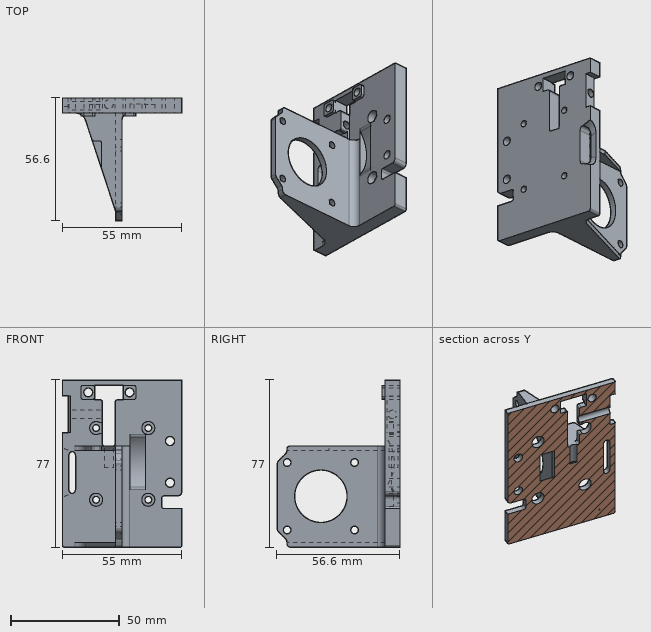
import cadquery as cq
import math

plate_width = 55.0
plate_height = 77.0
plate_depth = 7.0
corner_radius = 1.0

reach = 49.6
web_left = 24.4
web_thickness = 3.0
web_right = web_left + web_thickness
web_root_radius = 3.5
flange_top = 46.75
top_flange_thickness = 2.1
bottom_flange_thickness = 2.4
flange_reach = 45.2
flange_foot_x = 9.5
flange_root_radius = 5.0
flange_end_radius = 1.55
flange_slant = math.atan2(web_left - flange_foot_x, flange_reach)
flange_notch_x = 18.0
flange_notch_y = -12.8
nose_half_height = 15.8
nose_bend_radius = 2.0

motor_y = -29.5
motor_z = 23.6
motor_bore_diameter = 24.0
motor_screw_diameter = 3.4
motor_screw_pitch = 31.0

stem_left = 18.4
stem_right = 24.25
head_left = 14.85
head_right = 27.95
head_bottom = 68.0
head_top = 74.6
pad_outer_left = 8.5
pad_outer_right = 33.8
pad_inner_right = 27.65
pad_bottom = 68.15
pad_height = 1.5
pad_hole_diameter = 3.9
pad_hole_left_x = 11.85
pad_hole_pitch = 19.0
pad_hole_z = 71.4

stem_hole_x = (stem_left + stem_right) / 2
stem_hole_y = 4.0
stem_hole_diameter = 4.1
stem_hole_depth = 10.0

screw_left_x = 15.5
screw_bottom_z = 21.95
screw_pitch_x = 24.0
screw_pitch_z = 33.0
screw_diameter = 3.0
counterbore_diameter = 6.0
counterbore_depth = 4.0
relief_height = 5.2
relief_lip_radius = 0.5

side_hole_x = 49.5
side_hole_low_z = 29.8
side_hole_high_z = 49.0
side_hole_diameter = 4.1

left_notch_depth = 2.6
left_notch_bottom = 52.9
left_notch_top = 69.8
left_notch_chamfer = 1.0
cross_hole_diameter = 3.9
cross_hole_y = 3.5
cross_hole_z = 61.2

right_notch_left = 45.7
right_notch_bottom = 17.95
right_notch_top = 23.7
right_notch_lip_radius = 2.0

strap_z = 34.5
strap_slot_left = 2.9
strap_slot_width = 3.1
strap_slot_straight = 15.25
strap_slot_end = 2.0
strap_recess_y = 2.9
strap_recess_radius = 5.0
strap_recess_half_outer = 11.4
strap_recess_half_inner = 9.6

hollow_left = 31.1
hollow_right = 38.2
hollow_z = 39.3
hollow_radius = 18.7
hollow_depth = 4.3
hollow_lip_radius = 2.0

ALONG_X = cq.Vector(1, 0, 0)
ALONG_Y = cq.Vector(0, 1, 0)


def block(x0, x1, y0, y1, z0, z1):
    return cq.Workplane("XY").box(x1 - x0, y1 - y0, z1 - z0, centered=False).translate((x0, y0, z0))


def hole_along_y(x, z, diameter, y0, y1):
    return cq.Workplane(cq.Solid.makeCylinder(diameter / 2, y1 - y0, cq.Vector(x, y0, z), ALONG_Y))


def hole_along_x(y, z, diameter, x0, x1):
    return cq.Workplane(cq.Solid.makeCylinder(diameter / 2, x1 - x0, cq.Vector(x0, y, z), ALONG_X))


def edge_at(body, direction, x=None, y=None, z=None, tolerance=0.04):
    """Edges parallel to direction whose centre has the given coordinates."""
    def matches(edge):
        centre = edge.Center()
        pairs = ((centre.x, x), (centre.y, y), (centre.z, z))
        return all(wanted is None or abs(value - wanted) < tolerance for value, wanted in pairs)
    return body.newObject([edge for edge in body.edges("|" + direction).vals() if matches(edge)])


def make_plate():
    plate = block(0, plate_width, 0, plate_depth, 0, plate_height)
    plate = plate.edges("|Y and <Z").fillet(corner_radius)
    notch = block(right_notch_left, plate_width, 0, plate_depth, right_notch_bottom, right_notch_top)
    notch = notch.edges("|Y and <X").fillet(corner_radius)
    plate = plate.cut(notch)
    return edge_at(plate, "Y", x=plate_width, z=right_notch_top).fillet(right_notch_lip_radius)


def make_pads():
    def pad(x0, x1):
        return block(x0, x1, -pad_height, 0, pad_bottom, head_top).edges("|Y").fillet(corner_radius)
    return pad(pad_outer_left, head_left).union(pad(pad_inner_right, pad_outer_right))


def make_t_opening():
    head = block(head_left, head_right, -pad_height, plate_depth, head_bottom, head_top)
    stem = block(stem_left, stem_right, 0, plate_depth, flange_top, head_bottom)
    stem = stem.edges("|Y and <Z").fillet(corner_radius)
    opening = head.union(stem)
    for x in (stem_left, stem_right):
        opening = edge_at(opening, "Y", x=x, z=head_bottom).fillet(corner_radius)
    return opening


def make_bracket_side(x0, x1):
    """Slab with the side outline of the bracket: a chamfered nose between two rounded corners."""
    slope_end = motor_z + nose_half_height
    slope_start = slope_end + reach - flange_reach
    mirror_z = 2 * motor_z
    side = (
        cq.Workplane("YZ")
        .moveTo(0, 0)
        .lineTo(-flange_reach, 0)
        .lineTo(-flange_reach, mirror_z - slope_start)
        .lineTo(-reach, mirror_z - slope_end)
        .lineTo(-reach, slope_end)
        .lineTo(-flange_reach, slope_start)
        .lineTo(-flange_reach, flange_top)
        .lineTo(0, flange_top)
        .close()
        .extrude(x1 - x0)
        .translate((x0, 0, 0))
    )
    for z in (mirror_z - slope_start, mirror_z - slope_end, slope_end, slope_start):
        side = edge_at(side, "X", z=z).fillet(nose_bend_radius)
    for z, radius in ((0, nose_bend_radius), (flange_top, flange_end_radius)):
        side = edge_at(side, "X", y=-flange_reach, z=z).fillet(radius)
    return side


def make_flange(bottom, thickness):
    """Triangular flange whose slanted edge blends into the plate."""
    tangent = flange_root_radius * math.tan(math.pi / 4 - flange_slant / 2)
    middle = flange_root_radius * (1 / math.cos(math.pi / 4 - flange_slant / 2) - 1)
    lean = math.pi / 4 + flange_slant / 2
    blend_end = (flange_foot_x + tangent * math.sin(flange_slant), -tangent * math.cos(flange_slant))
    blend_middle = (flange_foot_x - middle * math.cos(lean), -middle * math.sin(lean))
    return (
        cq.Workplane("XY", origin=(0, 0, bottom))
        .moveTo(flange_foot_x - tangent, 0)
        .threePointArc(blend_middle, blend_end)
        .lineTo(web_left, -flange_reach)
        .lineTo(web_left, 0)
        .close()
        .extrude(thickness)
        .intersect(make_bracket_side(0, web_left))
    )


def make_top_flange():
    bottom = flange_top - top_flange_thickness
    notch = block(0, flange_notch_x, -flange_reach, flange_notch_y, bottom, flange_top)
    flange = make_flange(bottom, top_flange_thickness).cut(notch)
    notch_mouth_x = flange_foot_x - flange_notch_y * math.tan(flange_slant)
    for x in (notch_mouth_x, flange_notch_x):
        flange = edge_at(flange, "Z", x=x, y=flange_notch_y).fillet(corner_radius)
    return flange


def make_web_root():
    """Concave blend between the right side of the web and the plate."""
    root = block(web_right, web_right + web_root_radius, -web_root_radius, 0, 0, flange_top)
    round_cut = cq.Workplane("XY").center(web_right + web_root_radius, -web_root_radius)
    return root.cut(round_cut.circle(web_root_radius).extrude(flange_top))


def make_motor_holes():
    holes = hole_along_x(motor_y, motor_z, motor_bore_diameter, web_left, web_right)
    for dy in (-motor_screw_pitch / 2, motor_screw_pitch / 2):
        for dz in (-motor_screw_pitch / 2, motor_screw_pitch / 2):
            holes = holes.union(
                hole_along_x(motor_y + dy, motor_z + dz, motor_screw_diameter, web_left, web_right)
            )
    return holes


def make_stem_hole():
    hole = cq.Workplane("XY", origin=(stem_hole_x, stem_hole_y, flange_top))
    return hole.circle(stem_hole_diameter / 2).extrude(-stem_hole_depth)


def make_screw_holes():
    holes = cq.Workplane("XY")
    for x in (screw_left_x, screw_left_x + screw_pitch_x):
        for z in (screw_bottom_z, screw_bottom_z + screw_pitch_z):
            holes = holes.add(hole_along_y(x, z, screw_diameter, 0, plate_depth))
            holes = holes.add(hole_along_y(x, z, counterbore_diameter, 0, counterbore_depth))
    return holes.combine()


def make_counterbore_relief():
    """Opening from the upper left counterbore into the stem, flared at its mouth."""
    z = screw_bottom_z + screw_pitch_z
    relief = block(screw_left_x, stem_left, 0, counterbore_depth, z - relief_height / 2, z + relief_height / 2)
    stem_part = block(stem_left, stem_right, 0, counterbore_depth, z - relief_height, z + relief_height)
    relief = relief.union(stem_part)
    for side in (-1, 1):
        mouth_z = z + side * relief_height / 2
        relief = edge_at(relief, "Y", x=stem_left, z=mouth_z).fillet(relief_lip_radius)
    return relief


def make_plain_holes():
    holes = cq.Workplane("XY")
    for z in (side_hole_low_z, side_hole_high_z):
        holes = holes.add(hole_along_y(side_hole_x, z, side_hole_diameter, 0, plate_depth))
    for x in (pad_hole_left_x, pad_hole_left_x + pad_hole_pitch):
        holes = holes.add(hole_along_y(x, pad_hole_z, pad_hole_diameter, -pad_height, plate_depth))
    return holes.combine()


def make_left_notch():
    notch = (
        cq.Workplane("XY", origin=(0, 0, left_notch_bottom))
        .moveTo(0, 0)
        .lineTo(left_notch_depth + left_notch_chamfer, 0)
        .lineTo(left_notch_depth, left_notch_chamfer)
        .lineTo(left_notch_depth, plate_depth)
        .lineTo(0, plate_depth)
        .close()
        .extrude(left_notch_top - left_notch_bottom)
    )
    return notch.union(hole_along_x(cross_hole_y, cross_hole_z, cross_hole_diameter, 0, stem_left))


def strap_recess_section(x, half_height):
    """Closed wire across the recess: a flat floor with a rounded end at top and bottom."""
    flat_half = half_height - strap_recess_radius
    centre_y = strap_recess_y + strap_recess_radius
    bend = strap_recess_radius * math.sqrt(0.5)
    return (
        cq.Workplane("YZ", origin=(x, 0, strap_z))
        .moveTo(strap_recess_y, -flat_half)
        .lineTo(strap_recess_y, flat_half)
        .threePointArc((centre_y - bend, flat_half + bend), (centre_y, half_height))
        .lineTo(centre_y, -half_height)
        .threePointArc((centre_y - bend, -flat_half - bend), (strap_recess_y, -flat_half))
        .close()
        .val()
    )


def make_strap_passage():
    slot_centre = strap_slot_left + strap_slot_width / 2
    sections = [
        strap_recess_section(0, strap_recess_half_outer),
        strap_recess_section(slot_centre, strap_recess_half_inner),
    ]
    passage = cq.Workplane(cq.Solid.makeLoft(sections, True))
    half_straight = strap_slot_straight / 2
    passage = passage.union(block(
        strap_slot_left, strap_slot_left + strap_slot_width, 0, plate_depth,
        strap_z - half_straight, strap_z + half_straight,
    ))
    for side in (-1, 1):
        slot_end = (
            cq.Workplane("XZ", origin=(slot_centre, plate_depth, strap_z + side * half_straight))
            .ellipse(strap_slot_width / 2, strap_slot_end)
            .extrude(plate_depth)
        )
        passage = passage.union(slot_end)
    return passage


def make_hollow():
    centre_y = hollow_depth - hollow_radius
    hollow = hole_along_x(centre_y, hollow_z, 2 * hollow_radius, hollow_left, hollow_right)
    front = block(hollow_left, hollow_right, -2 * hollow_radius, 0,
                  hollow_z - hollow_radius, hollow_z + hollow_radius)
    return hollow.cut(front)


result = make_plate().union(make_pads())
result = result.union(make_bracket_side(web_left, web_right)).union(make_web_root())
result = result.union(make_flange(0, bottom_flange_thickness)).union(make_top_flange())
for cutter in (
    make_t_opening(),
    make_stem_hole(),
    make_counterbore_relief(),
    make_screw_holes(),
    make_plain_holes(),
    make_motor_holes(),
    make_left_notch(),
    make_strap_passage(),
    make_hollow(),
):
    result = result.cut(cutter)

for lip_side in (-1, 1):
    lip_z = hollow_z + lip_side * math.sqrt(hollow_radius**2 - (hollow_radius - hollow_depth) ** 2)
    result = edge_at(result, "X", y=0, z=lip_z).fillet(hollow_lip_radius)